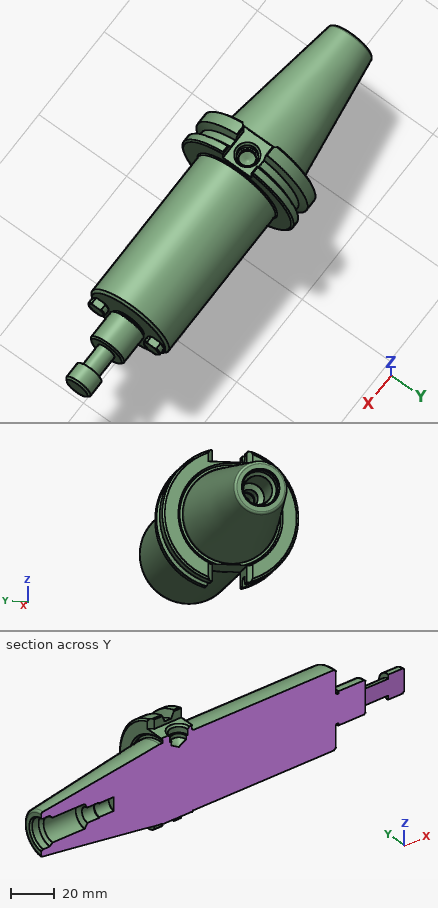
import cadquery as cq
import math

TOTAL_LENGTH = 209.5

GAUGE_X = 68.3
GAUGE_DIA = 44.5
TAPER = 7 / 24
TIP_ROUND = 1.3

FLANGE_FRONT_X = 69.1
FLANGE_BACK_X = 87.1
FLANGE_DIA = 63.5
FLANGE_CHAMFER_LENGTH = 0.6
FLANGE_CHAMFER_DEPTH = 1.0
GROOVE_X = 79.4
GROOVE_FLOOR_DIA = 55.7
GROOVE_FLOOR_WIDTH = 3.8
GROOVE_RIM_WIDTH = 7.1
UNDERCUT_DIA = 48.8
UNDERCUT_DEPTH = 0.8

SLOT_WIDTH = 16.1
SLOT_ENTRY_CHAMFER = 2.3
SLOT_RIM_CHAMFER = 0.6
UPPER_SLOT_FLOOR_Z = 25.0
LOWER_SLOT_FLOOR_Z = -22.6

SIDE_HOLE_DIA = 10.0
SIDE_HOLE_DEPTH = 4.2
SIDE_HOLE_MOUTH_DIA = 12.1
SIDE_PILOT_DIA = 8.2
SIDE_PILOT_DEPTH = 6.3
DRILL_HALF_ANGLE = 59.0

BODY_DIA = GAUGE_DIA
BODY_END_X = 170.0
BODY_CHAMFER = 1.3
BODY_ROOT_BEVEL = 0.6

NECK_DIA = 16.5
NECK_ROOT_DIA = 17.5
NECK_ROOT_LENGTH = 0.6
SPIGOT_DIA = 19.0
SPIGOT_START_X = 171.3
SPIGOT_END_X = 187.0
SPIGOT_CHAMFER = 0.8

BORE_MOUTH_DIA = 17.5
BORE_MOUTH_LENGTH = 1.3
BORE_PILOT_DIA = 16.5
BORE_PILOT_DEPTH = 5.0
BORE_THREAD_DIA = 13.5
BORE_THREAD_DEPTH = 25.1
BORE_CORE_DIA = 8.2
BORE_CORE_DEPTH = 33.5
BORE_END_DIA = 7.3
BORE_END_DEPTH = 41.9

SCREW_SHANK_DIA = 9.5
SCREW_HEAD_DIA = 14.0
SCREW_HEAD_X = 200.0
SCREW_CHAMFER = 1.0

STUD_DIA = 9.5
STUD_FLATS = 7.8
STUD_LENGTH = 3.8
STUD_CHAMFER = 0.5
STUD_OFFSET_Y = 15.7


def revolve_about_x(points):
    """Turn a closed outline of (x, radius) points around the X axis."""
    return cq.Workplane("XY").polyline(points).close().revolve(360, (0, 0), (1, 0))


def cone_length(start_dia, end_dia, half_angle):
    """Axial length of a cone between two diameters."""
    return (start_dia - end_dia) / 2 / math.tan(math.radians(half_angle))


def make_outer_form():
    """Taper, flange, body and spigot as one turned shape."""
    tip_r = (GAUGE_DIA - TAPER * GAUGE_X) / 2
    flange_r = FLANGE_DIA / 2
    body_r = BODY_DIA / 2
    spigot_r = SPIGOT_DIA / 2
    form = revolve_about_x([
        (0, 0),
        (0, tip_r),
        (GAUGE_X, GAUGE_DIA / 2),
        (FLANGE_FRONT_X, GAUGE_DIA / 2),
        (FLANGE_FRONT_X, flange_r - FLANGE_CHAMFER_DEPTH),
        (FLANGE_FRONT_X + FLANGE_CHAMFER_LENGTH, flange_r),
        (FLANGE_BACK_X - FLANGE_CHAMFER_LENGTH, flange_r),
        (FLANGE_BACK_X, flange_r - FLANGE_CHAMFER_DEPTH),
        (FLANGE_BACK_X, body_r + BODY_ROOT_BEVEL),
        (FLANGE_BACK_X + BODY_ROOT_BEVEL, body_r),
        (BODY_END_X - BODY_CHAMFER, body_r),
        (BODY_END_X, body_r - BODY_CHAMFER),
        (BODY_END_X, NECK_ROOT_DIA / 2),
        (BODY_END_X + NECK_ROOT_LENGTH, NECK_DIA / 2),
        (SPIGOT_START_X, NECK_DIA / 2),
        (SPIGOT_START_X, spigot_r),
        (SPIGOT_END_X - SPIGOT_CHAMFER, spigot_r),
        (SPIGOT_END_X, spigot_r - SPIGOT_CHAMFER),
        (SPIGOT_END_X, 0),
    ])
    return form.faces("<X").edges().fillet(TIP_ROUND)


def make_gripper_groove():
    """V-groove around the flange."""
    floor_r = GROOVE_FLOOR_DIA / 2
    rim_r = FLANGE_DIA / 2
    half_floor = GROOVE_FLOOR_WIDTH / 2
    half_rim = GROOVE_RIM_WIDTH / 2
    return revolve_about_x([
        (GROOVE_X - half_floor, floor_r),
        (GROOVE_X - half_rim, rim_r),
        (GROOVE_X + half_rim, rim_r),
        (GROOVE_X + half_floor, floor_r),
    ])


def make_undercut():
    """Shallow ring recess around the taper root, with a sloped outer wall."""
    outer_r = UNDERCUT_DIA / 2
    floor_x = FLANGE_FRONT_X + UNDERCUT_DEPTH
    return revolve_about_x([
        (FLANGE_FRONT_X, GAUGE_DIA / 2),
        (FLANGE_FRONT_X, outer_r),
        (floor_x, outer_r - UNDERCUT_DEPTH),
        (floor_x, GAUGE_DIA / 2),
    ])


def make_slot(floor_z):
    """Slot through the flange along X, open away from the axis, widened at its front."""
    half = SLOT_WIDTH / 2
    wide = half + SLOT_ENTRY_CHAMFER
    narrow_x = FLANGE_FRONT_X + SLOT_ENTRY_CHAMFER
    depth = math.copysign(FLANGE_DIA / 2, floor_z)
    return (
        cq.Workplane("XY", origin=(0, 0, floor_z))
        .polyline([
            (FLANGE_FRONT_X, -wide),
            (narrow_x, -half),
            (FLANGE_BACK_X, -half),
            (FLANGE_BACK_X, half),
            (narrow_x, half),
            (FLANGE_FRONT_X, wide),
        ])
        .close()
        .extrude(depth)
    )


def make_slot_rim_bevel(floor_z):
    """Flared cutter that bevels the two edges where the slot walls meet the flange rim."""
    side = math.copysign(1, floor_z)
    half = SLOT_WIDTH / 2
    rim_z = math.sqrt((FLANGE_DIA / 2) ** 2 - half**2)
    inner_z = side * (rim_z - SLOT_RIM_CHAMFER)
    outer_z = side * (rim_z + SLOT_RIM_CHAMFER)
    flared = half + 2 * SLOT_RIM_CHAMFER
    return (
        cq.Workplane("YZ", origin=(FLANGE_FRONT_X, 0, 0))
        .polyline([(-half, inner_z), (half, inner_z), (flared, outer_z), (-flared, outer_z)])
        .close()
        .extrude(FLANGE_BACK_X - FLANGE_FRONT_X)
    )


def make_side_hole():
    """Countersunk stepped hole with a drill-point bottom, going down from the upper slot floor."""
    hole_r = SIDE_HOLE_DIA / 2
    mouth_r = SIDE_HOLE_MOUTH_DIA / 2
    pilot_r = SIDE_PILOT_DIA / 2
    tip = cone_length(SIDE_PILOT_DIA, 0, DRILL_HALF_ANGLE)
    return (
        cq.Workplane("XZ", origin=(GROOVE_X, 0, UPPER_SLOT_FLOOR_Z))
        .polyline([
            (0, 0),
            (mouth_r, 0),
            (hole_r, hole_r - mouth_r),
            (hole_r, -SIDE_HOLE_DEPTH),
            (pilot_r, -SIDE_HOLE_DEPTH),
            (pilot_r, -SIDE_PILOT_DEPTH),
            (0, -SIDE_PILOT_DEPTH - tip),
        ])
        .close()
        .revolve(360, (0, 0), (0, 1))
    )


def make_bore():
    """Blind bore from the small end: flared mouth, pilot, thread core and a narrow end."""
    mouth_r = BORE_MOUTH_DIA / 2
    pilot_r = BORE_PILOT_DIA / 2
    thread_r = BORE_THREAD_DIA / 2
    core_r = BORE_CORE_DIA / 2
    end_r = BORE_END_DIA / 2
    cone_end = BORE_THREAD_DEPTH + cone_length(BORE_THREAD_DIA, BORE_CORE_DIA, DRILL_HALF_ANGLE)
    return revolve_about_x([
        (0, 0),
        (0, mouth_r),
        (BORE_MOUTH_LENGTH, pilot_r),
        (BORE_PILOT_DEPTH, pilot_r),
        (BORE_PILOT_DEPTH + pilot_r - thread_r, thread_r),
        (BORE_THREAD_DEPTH, thread_r),
        (cone_end, core_r),
        (BORE_CORE_DEPTH, core_r),
        (BORE_CORE_DEPTH, end_r),
        (BORE_END_DEPTH, end_r),
        (BORE_END_DEPTH, 0),
    ])


def make_holder():
    """Turned form with its groove, slots and holes cut out."""
    holder = make_outer_form().cut(make_gripper_groove()).cut(make_undercut())
    for floor_z in (UPPER_SLOT_FLOOR_Z, LOWER_SLOT_FLOOR_Z):
        holder = holder.cut(make_slot(floor_z)).cut(make_slot_rim_bevel(floor_z))
    return holder.cut(make_side_hole()).cut(make_bore())


def make_screw():
    """Screw whose shank stands on the end of the spigot."""
    shank_r = SCREW_SHANK_DIA / 2
    head_r = SCREW_HEAD_DIA / 2
    return revolve_about_x([
        (SPIGOT_END_X, 0),
        (SPIGOT_END_X, shank_r),
        (SCREW_HEAD_X, shank_r),
        (SCREW_HEAD_X, head_r),
        (TOTAL_LENGTH - SCREW_CHAMFER, head_r),
        (TOTAL_LENGTH, head_r - SCREW_CHAMFER),
        (TOTAL_LENGTH, 0),
    ])


def make_drive_stud(y):
    """Disc chamfered at both ends, with flats facing +Z and -Z."""
    disc = (
        cq.Workplane("YZ", origin=(BODY_END_X, y, 0))
        .circle(STUD_DIA / 2)
        .extrude(STUD_LENGTH)
        .edges()
        .chamfer(STUD_CHAMFER)
    )
    flats = cq.Workplane("YZ", origin=(BODY_END_X, y, 0)).rect(STUD_DIA, STUD_FLATS).extrude(STUD_LENGTH)
    return disc.intersect(flats)


holder = make_holder()
screw = make_screw()
drive_studs = [make_drive_stud(side * STUD_OFFSET_Y) for side in (-1, 1)]

result = cq.Compound.makeCompound([holder.val(), screw.val(), *[stud.val() for stud in drive_studs]])